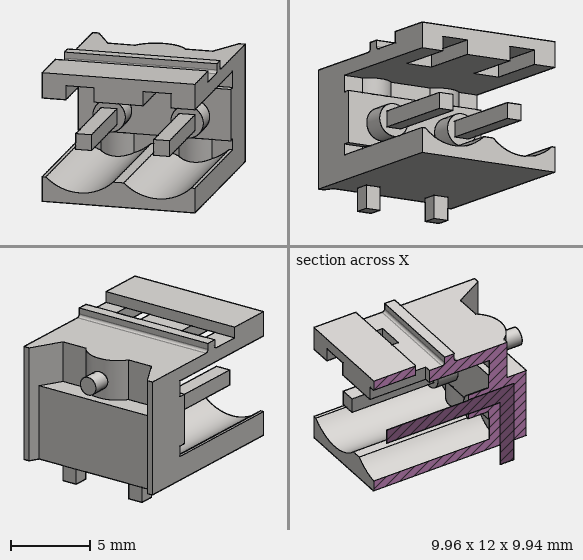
import cadquery as cq
import math


WIDTH = 9.96
DEPTH = 12.0
DECK_TOP = 7.7
LIP_TOP = 8.44
LIP_DEPTH = 3.13

FLOOR_TOP = 1.62
ARM_UNDERSIDE = 6.77
WALL_FRONT = 8.55

GROOVE_BACK = 9.01
BAND_BOTTOM = 2.33
BAND_TOP = 5.7

RIDGE_FRONT = 5.28
RIDGE_BACK = 6.02
RIDGE_TOP = 8.3
RIDGE_FILLET = 0.19

SLOT_PITCH = 5.04
SLOT_WIDTH = 1.84
SLOT_DEPTH = 4.15

PIN_PITCH = 5.09
PIN_SIDE = 1.03
PIN_AXIS_Z = 3.8
PIN_TIP = 0.97
TAIL_AXIS_Y = 9.95
TAIL_LENGTH = 1.5

COLLAR_DIAMETER = 2.11
COLLAR_LENGTH = 1.5
CHANNEL_BOTTOM = 0.75
CHANNEL_RADIUS = 3.2
BULGE_WIDTH = 2.17

EAR_TIP_WIDTH = 0.41
EAR_ROOT_WIDTH = 1.56
LOWER_BACK = 11.39
POCKET_FRONT = 9.95
POCKET_FLOOR = 5.0
REAR_BOSS_RADIUS = 2.0
REAR_BOSS_PEAK = 10.81
POST_DIAMETER = 1.2
POST_AXIS_Z = 6.2

PIN_POSITIONS = [-PIN_PITCH / 2, PIN_PITCH / 2]
SLOT_POSITIONS = [-SLOT_PITCH / 2, SLOT_PITCH / 2]


def block(x_range, y_range, z_range):
    """Box spanning the given (low, high) ranges."""
    size = [high - low for low, high in (x_range, y_range, z_range)]
    corner = (x_range[0], y_range[0], z_range[0])
    return cq.Workplane("XY").box(*size, centered=False).translate(corner)


def cylinder_along_y(x, z, radius, y_start, y_end):
    """Cylinder with its axis parallel to Y."""
    start_plane = cq.Workplane("XZ", origin=(x, y_start, z))
    return start_plane.circle(radius).extrude(y_start - y_end)


def full_width(y_range, z_range):
    """Box across the whole width of the housing."""
    return block((-WIDTH / 2, WIDTH / 2), y_range, z_range)


def side_profile():
    """Housing seen along X: two arms, the grooved cavity wall and the lip."""
    body = full_width((0, DEPTH), (0, DECK_TOP))
    body = body.union(full_width((0, LIP_DEPTH), (ARM_UNDERSIDE, LIP_TOP)))
    body = body.cut(full_width((0, WALL_FRONT), (FLOOR_TOP, ARM_UNDERSIDE)))
    body = body.cut(full_width((0, GROOVE_BACK), (FLOOR_TOP, BAND_BOTTOM)))
    return body.cut(full_width((0, GROOVE_BACK), (BAND_TOP, ARM_UNDERSIDE)))


def ridge():
    """Rib across the deck, flared into it by a concave fillet on each side."""
    fillet_top = DECK_TOP + RIDGE_FILLET
    arc_offset = RIDGE_FILLET * (1 - math.sqrt(0.5))
    arc_middle_z = DECK_TOP + arc_offset
    front_foot = RIDGE_FRONT - RIDGE_FILLET
    back_foot = RIDGE_BACK + RIDGE_FILLET
    return (
        cq.Workplane("YZ", origin=(-WIDTH / 2, 0, 0))
        .moveTo(front_foot, DECK_TOP)
        .threePointArc((RIDGE_FRONT - arc_offset, arc_middle_z), (RIDGE_FRONT, fillet_top))
        .lineTo(RIDGE_FRONT, RIDGE_TOP)
        .lineTo(RIDGE_BACK, RIDGE_TOP)
        .lineTo(RIDGE_BACK, fillet_top)
        .threePointArc((RIDGE_BACK + arc_offset, arc_middle_z), (back_foot, DECK_TOP))
        .close()
        .extrude(WIDTH)
    )


def keying_slot(x):
    """Slot in the upper arm, open at the mating face and up to deck level."""
    x_range = (x - SLOT_WIDTH / 2, x + SLOT_WIDTH / 2)
    return block(x_range, (0, SLOT_DEPTH), (ARM_UNDERSIDE, DECK_TOP))


def channel(x):
    """Shallow round trough in the lower arm below one pin."""
    axis_z = CHANNEL_BOTTOM + CHANNEL_RADIUS
    trough = cylinder_along_y(x, axis_z, CHANNEL_RADIUS, 0, GROOVE_BACK)
    return trough.intersect(full_width((0, GROOVE_BACK), (0, FLOOR_TOP)))


def bulge(x):
    """Rounded upright filling the wall grooves, touching the front plane of the band."""
    return (
        cq.Workplane("XY", origin=(x, 0, CHANNEL_BOTTOM))
        .moveTo(-BULGE_WIDTH / 2, GROOVE_BACK)
        .threePointArc((0, WALL_FRONT), (BULGE_WIDTH / 2, GROOVE_BACK))
        .close()
        .extrude(ARM_UNDERSIDE - CHANNEL_BOTTOM)
    )


def collar(x):
    """Round collar around the pin where it leaves the cavity wall."""
    return cylinder_along_y(x, PIN_AXIS_Z, COLLAR_DIAMETER / 2, WALL_FRONT - COLLAR_LENGTH, WALL_FRONT)


def rear_cut(front, bottom):
    """Space between the sloping ears, from the given front plane and height upward."""
    tip_x = WIDTH / 2 - EAR_TIP_WIDTH
    root_x = WIDTH / 2 - EAR_ROOT_WIDTH
    slope = (tip_x - root_x) / (DEPTH - POCKET_FRONT)
    front_x = root_x + slope * (front - POCKET_FRONT)
    outline = [(-tip_x, DEPTH), (-front_x, front), (front_x, front), (tip_x, DEPTH)]
    return cq.Workplane("XY", origin=(0, 0, bottom)).polyline(outline).close().extrude(DECK_TOP - bottom)


def rear_boss():
    """Round boss on the front of the upper rear pocket."""
    boss_plane = cq.Workplane("XY", origin=(0, REAR_BOSS_PEAK - REAR_BOSS_RADIUS, POCKET_FLOOR))
    return boss_plane.circle(REAR_BOSS_RADIUS).extrude(DECK_TOP - POCKET_FLOOR)


def make_pin(x):
    """Square pin with a straight contact and a tail bent down through the underside."""
    half = PIN_SIDE / 2
    tail_front = TAIL_AXIS_Y - half
    tail_back = TAIL_AXIS_Y + half
    contact_top = PIN_AXIS_Z + half
    x_range = (x - half, x + half)
    contact = block(x_range, (PIN_TIP, tail_back), (PIN_AXIS_Z - half, contact_top))
    tail = block(x_range, (tail_front, tail_back), (-TAIL_LENGTH, contact_top))
    return contact.union(tail)


def make_housing(pins):
    """Moulded housing with a matching passage for every pin."""
    body = side_profile().union(ridge())
    for x in SLOT_POSITIONS:
        body = body.cut(keying_slot(x))

    for x in PIN_POSITIONS:
        body = body.cut(channel(x))
    pocket = rear_cut(POCKET_FRONT, POCKET_FLOOR).cut(rear_boss())
    body = body.cut(rear_cut(LOWER_BACK, 0)).cut(pocket)

    for x in PIN_POSITIONS:
        body = body.union(bulge(x)).union(collar(x))
    post = cylinder_along_y(0, POST_AXIS_Z, POST_DIAMETER / 2, POCKET_FRONT, DEPTH)
    body = body.union(post)

    for pin in pins:
        body = body.cut(pin)
    return body


pins = [make_pin(x) for x in PIN_POSITIONS]
housing = make_housing(pins)

result = cq.Compound.makeCompound([housing.solids().val(), *[pin.solids().val() for pin in pins]])